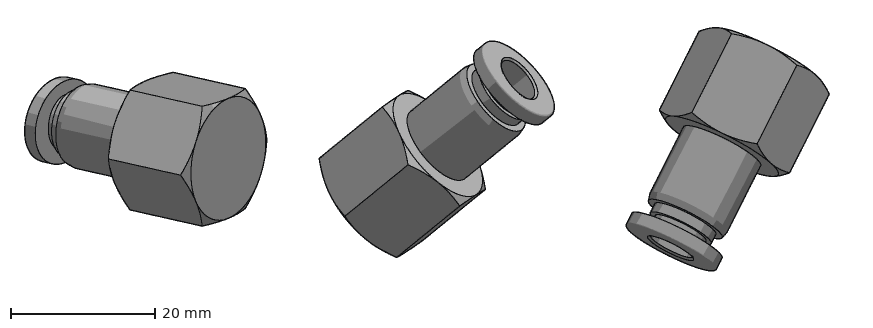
import cadquery as cq
import math

total_length = 30.1

flange_width = 14.0
flange_height = 11.9
flange_thickness = 2.0
flange_edge_radius = 0.3
neck_diameter = 7.9
collar_start = 3.15
collar_diameter = 9.5
tube_diameter = 6.55
mouth_chamfer = 0.3

barrel_start = 4.6
barrel_diameter = 12.0
barrel_bevel_length = 1.0
barrel_bevel_angle = 15.0
hex_length = 14.0
hex_across_flats = 17.46
hex_bevel_angle = 30.0

hex_start = total_length - hex_length
hex_across_corners = hex_across_flats / math.cos(math.pi / 6)


def cylinder(diameter, start, end):
    """Round bar along X between two stations."""
    return cq.Workplane("YZ", origin=(start, 0, 0)).circle(diameter / 2).extrude(end - start)


def make_release_ring():
    flange = (
        cq.Workplane("YZ")
        .ellipse(flange_width / 2, flange_height / 2)
        .extrude(flange_thickness)
        .faces("<X")
        .edges()
        .fillet(flange_edge_radius)
    )
    neck = cylinder(neck_diameter, flange_thickness, collar_start)
    collar = cylinder(collar_diameter, collar_start, barrel_start)
    ring = flange.union(neck).union(collar).cut(cylinder(tube_diameter, 0, barrel_start))
    return ring.faces("<X").edges("%CIRCLE").chamfer(mouth_chamfer)


def make_hexagon():
    """Hexagon with corners on +Y and -Y, beveled at both ends by cones that meet the flats."""
    prism = (
        cq.Workplane("YZ", origin=(hex_start, 0, 0))
        .polygon(6, hex_across_corners)
        .extrude(hex_length)
    )
    face_radius = hex_across_flats / 2
    corner_radius = hex_across_corners / 2
    bevel_length = (corner_radius - face_radius) * math.tan(math.radians(hex_bevel_angle))
    bevel_envelope = (
        cylinder(hex_across_corners, hex_start, total_length)
        .faces("<X or >X")
        .chamfer(bevel_length, corner_radius - face_radius)
    )
    return prism.intersect(bevel_envelope)


def make_barrel():
    barrel = cylinder(barrel_diameter, barrel_start, hex_start)
    bevel_depth = barrel_bevel_length * math.tan(math.radians(barrel_bevel_angle))
    return barrel.faces("<X").chamfer(barrel_bevel_length, bevel_depth)


def make_housing():
    """Hexagon and barrel, with a blind tube bore that stops at the hexagon."""
    tube_bore = cylinder(tube_diameter, barrel_start, hex_start)
    return make_hexagon().union(make_barrel()).cut(tube_bore)


release_ring = make_release_ring()
housing = make_housing()

result = cq.Compound.makeCompound([release_ring.val(), housing.val()])